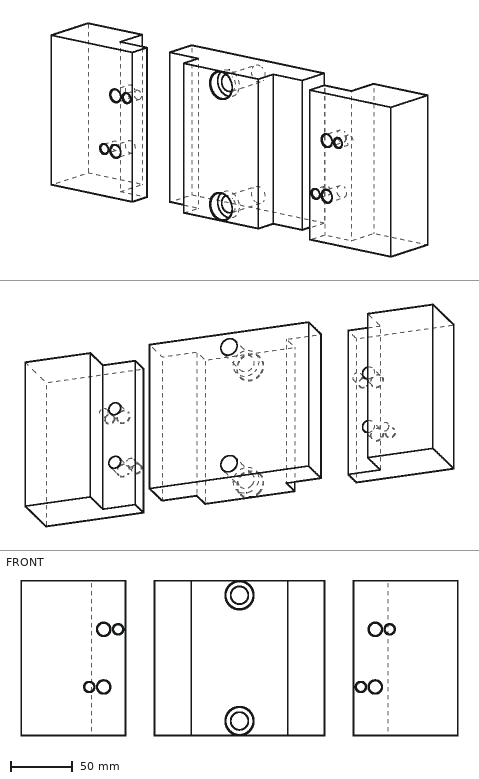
import cadquery as cq
import math

total_width = 354.5
depth = 48.0
height = 125.8

step_depth = 19.0
side_width = 84.7
ledge_width = 28.0
body_gap = 23.5
centre_width = total_width - 2 * (side_width + body_gap)
boss_width = 78.0

screw_mouth_diameter = 11.5
screw_hole_inset = 17.7
screw_hole_spacing = 46.8
dowel_mouth_diameter = 9.0
dowel_hole_offset = 11.7
dowel_hole_depth = 14.0
drill_tip_angle = 118.0

bolt_hole_diameter = 14.0
bolt_hole_spacing = 102.0
counterbore_mouth_diameter = 23.5
counterbore_depth = 9.5

mouth_chamfer = 0.53


def extrude_outline(points):
    """Extrude an XY outline over the full height, centred on z = 0."""
    return cq.Workplane("XY").polyline(points).close().extrude(height / 2, both=True)


def revolved_hole(x, z, half_section):
    """Revolve a (radius, depth) half section about an axis along Y through (x, z)."""
    hole = cq.Workplane("XY").polyline(half_section).close().revolve(360, (0, 0), (0, 1))
    return hole.translate((x, 0, z))


def screw_hole(x, z):
    """Through hole with a chamfered mouth."""
    mouth_radius = screw_mouth_diameter / 2
    radius = mouth_radius - mouth_chamfer
    return revolved_hole(x, z, [
        (0, 0),
        (mouth_radius, 0),
        (radius, mouth_chamfer),
        (radius, depth),
        (0, depth),
    ])


def dowel_hole(x, z):
    """Blind hole with a chamfered mouth and a conical drill tip."""
    mouth_radius = dowel_mouth_diameter / 2
    radius = mouth_radius - mouth_chamfer
    tip_length = radius / math.tan(math.radians(drill_tip_angle / 2))
    return revolved_hole(x, z, [
        (0, 0),
        (mouth_radius, 0),
        (radius, mouth_chamfer),
        (radius, dowel_hole_depth),
        (0, dowel_hole_depth + tip_length),
    ])


def bolt_hole(x, z):
    """Through hole with a counterbore whose mouth is chamfered."""
    bolt_radius = bolt_hole_diameter / 2
    mouth_radius = counterbore_mouth_diameter / 2
    counterbore_radius = mouth_radius - mouth_chamfer
    return revolved_hole(x, z, [
        (0, 0),
        (mouth_radius, 0),
        (counterbore_radius, mouth_chamfer),
        (counterbore_radius, counterbore_depth),
        (bolt_radius, counterbore_depth),
        (bolt_radius, depth),
        (0, depth),
    ])


def make_side_block(side):
    """L-shaped block on the left (side = -1) or right (side = 1), its ledge facing the centre."""
    outer_x = side * total_width / 2
    inner_x = outer_x - side * side_width
    shoulder_x = inner_x + side * ledge_width
    block = extrude_outline([
        (outer_x, 0),
        (inner_x, 0),
        (inner_x, step_depth),
        (shoulder_x, step_depth),
        (shoulder_x, depth),
        (outer_x, depth),
    ])

    screw_x = inner_x + side * screw_hole_inset
    for end in (-1, 1):
        hole_z = end * screw_hole_spacing / 2
        dowel_x = screw_x + end * dowel_hole_offset
        block = block.cut(screw_hole(screw_x, hole_z))
        block = block.cut(dowel_hole(dowel_x, hole_z))
    return block


def make_centre_block():
    """T-shaped block with a boss on its front and two counterbored holes."""
    half_width = centre_width / 2
    half_boss = boss_width / 2
    block = extrude_outline([
        (-half_boss, 0),
        (half_boss, 0),
        (half_boss, step_depth),
        (half_width, step_depth),
        (half_width, depth),
        (-half_width, depth),
        (-half_width, step_depth),
        (-half_boss, step_depth),
    ])

    for end in (-1, 1):
        hole_z = end * bolt_hole_spacing / 2
        block = block.cut(bolt_hole(0, hole_z))
    return block


side_blocks = [make_side_block(side) for side in (-1, 1)]
centre_block = make_centre_block()

result = cq.Compound.makeCompound([centre_block.val(), *[block.val() for block in side_blocks]])